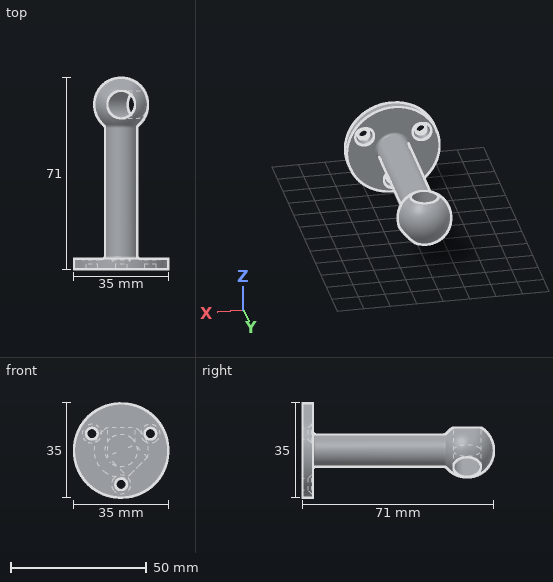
import cadquery as cq
import math

overall_length = 71.0

flange_diameter = 35.0
flange_thickness = 4.0

post_diameter = 12.0
blend_radius = 1.0

ball_diameter = 20.0
ball_radius = ball_diameter / 2
ball_center_y = overall_length - ball_radius

bore_diameter = 10.2
bore_tilt = 45.0

screw_hole_diameter = 4.2
countersink_diameter = 7.0
countersink_angle = 90.0
recess_depth = 0.5
screw_circle_diameter = 25.0
screw_count = 3


def along_y(diameter, start_y, end_y):
    """Cylinder on the Y axis between two stations."""
    end_plane = cq.Workplane("XZ", origin=(0, end_y, 0))
    return end_plane.circle(diameter / 2).extrude(end_y - start_y)


def blended_body():
    """Flange, post and ball joined, with the post blended into both ends."""
    flange = along_y(flange_diameter, 0, flange_thickness)
    post = along_y(post_diameter, 0, ball_center_y)
    ball = cq.Workplane("XY").sphere(ball_radius).translate((0, ball_center_y, 0))
    body = flange.union(post).union(ball)

    return body.edges(cq.selectors.RadiusNthSelector(0)).fillet(blend_radius)


def elbow_bore():
    """Bore from the top of the ball to its center, mitred into a bore sloping down toward +X."""
    tilt = math.radians(bore_tilt)
    slope_end = (ball_diameter * math.cos(tilt), -ball_diameter * math.sin(tilt))
    path = cq.Workplane("XZ").moveTo(0, ball_diameter).lineTo(0, 0).lineTo(*slope_end)
    start_plane = cq.Workplane("XY", origin=(0, 0, ball_diameter))
    bore = start_plane.circle(bore_diameter / 2).sweep(path, transition="right")
    return bore.translate((0, ball_center_y, 0))


def cut_screw_holes(body):
    """Through holes around the flange, each with a short recess and a countersink on the post side."""
    recess_floor = cq.Plane(origin=(0, flange_thickness - recess_depth, 0), xDir=(0, 0, -1), normal=(0, 1, 0))
    hole_centers = (
        body.copyWorkplane(cq.Workplane(recess_floor))
        .polarArray(screw_circle_diameter / 2, 0, 360, screw_count)
    )
    recesses = hole_centers.circle(countersink_diameter / 2).extrude(recess_depth, combine=False)
    drilled = hole_centers.cskHole(screw_hole_diameter, countersink_diameter, countersink_angle)
    return drilled.cut(recesses)


result = cut_screw_holes(blended_body().cut(elbow_bore()))